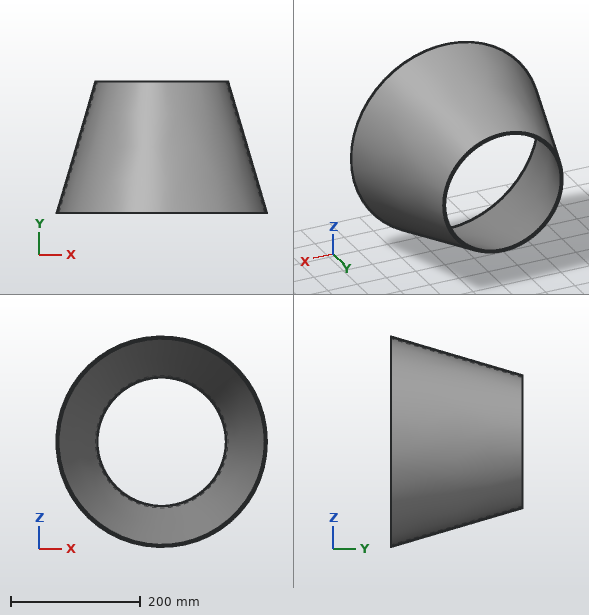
import cadquery as cq
import math

large_diameter = 323.9
small_diameter = 204.0
length = 203.0
wall = 3.0

large_radius = large_diameter / 2
small_radius = small_diameter / 2
half_angle = math.atan2(large_radius - small_radius, length)
radial_wall = wall / math.cos(half_angle)


def cone_wall():
    """Revolve the slanted wall section about the Y axis."""
    section = (
        cq.Workplane("XY")
        .moveTo(large_radius - radial_wall, 0)
        .lineTo(large_radius, 0)
        .lineTo(small_radius, length)
        .lineTo(small_radius - radial_wall, length)
        .close()
    )
    return section.revolve(360, (0, 0, 0), (0, 1, 0))


result = cone_wall()